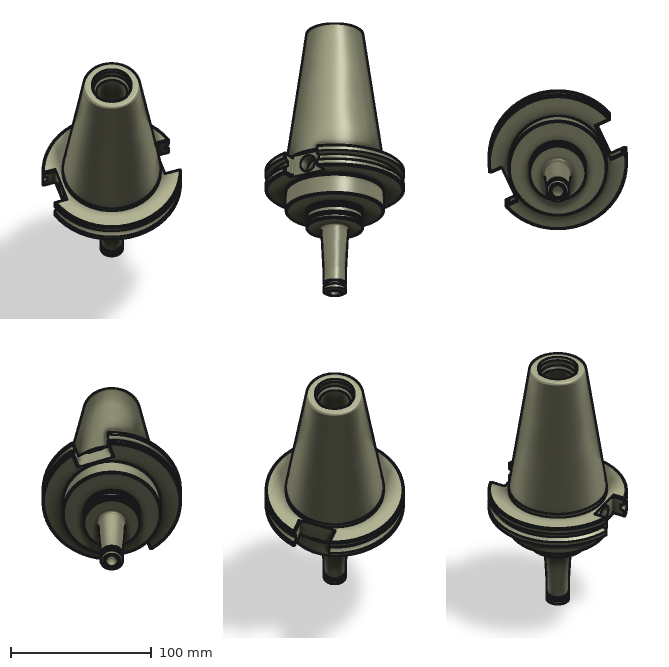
import cadquery as cq
import math


DRILL_POINT_ANGLE = 118.0


def drill_point_depth(dia):
    """Depth of a drill point that narrows from the given diameter to its tip."""
    return dia / 2 / math.tan(math.radians(DRILL_POINT_ANGLE / 2))


OVERALL_LENGTH = 199.2

GAUGE_DIA = 69.85
TAPER_LENGTH = 101.6
TAPER_RATE = 7 / 24
TAPER_END_DIA = GAUGE_DIA - TAPER_LENGTH * TAPER_RATE
TAPER_END_FILLET = 2.0

NECK_DIA = 69.0
NECK_BEVEL_HEIGHT = 1.6
NECK_COVE_DIA = 69.85

FLANGE_DIA = 98.425
FLANGE_TOP = -3.175
FLANGE_BOTTOM = -19.05
FLANGE_HEIGHT = FLANGE_TOP - FLANGE_BOTTOM
FLANGE_MID = (FLANGE_TOP + FLANGE_BOTTOM) / 2
FLANGE_CHAMFER = 1.0

GROOVE_FLOOR_DIA = 91.25
GROOVE_OPENING = 7.0
GROOVE_FLANK_ANGLE = 30.0
GROOVE_DEPTH = (FLANGE_DIA - GROOVE_FLOOR_DIA) / 2
GROOVE_FLANK_DEPTH = 2.6
GROOVE_FLANK_END = GROOVE_OPENING - 2 * GROOVE_FLANK_DEPTH * math.tan(math.radians(GROOVE_FLANK_ANGLE))
GROOVE_FLOOR = 3.3

SLOT_WIDTH = 25.7
SLOT_FLOOR_FRONT = 37.7
SLOT_FLOOR_BACK = 35.3
SLOT_CORNER_RADIUS = 0.8
SLOT_CHAMFER = 1.1

DRILL_DIA = 12.0
DRILL_DEPTH = 10.0

COLLAR_DIA = GAUGE_DIA
COLLAR_BEVEL_TOP = -19.9
COLLAR_TOP = -20.9
COLLAR_BOTTOM = -35.0
COLLAR_CHAMFER = 0.8

HUB_DIA = 40.5
HUB_BOTTOM = -48.1
HUB_CHAMFER = 0.6
HUB_CHAMFER_HEIGHT = 1.1
HUB_GROOVE_MIDS = (-37.65, -43.65)
HUB_GROOVE_OPENING = 2.4
HUB_GROOVE_FLOOR = 1.2
HUB_GROOVE_DEPTH = 0.5

ARBOR_DIA = 16.0
ARBOR_ROOT_DIA = 19.2
ARBOR_ROOT_FLARE_DIA = 21.96
ARBOR_ROOT_FILLET = (ARBOR_ROOT_FLARE_DIA - ARBOR_ROOT_DIA) / 2
ARBOR_CONE_BOTTOM = -80.5
ARBOR_BOTTOM = -90.5
ARBOR_CHAMFER = 0.3
TIP_NECK_DIA = 13.0
TIP_TOP = -93.0
TIP_TOP_CHAMFER = 0.5
TIP_END_DIA = 11.7
TIP_BOTTOM = TAPER_LENGTH - OVERALL_LENGTH
TIP_BEVEL_HEIGHT = 1.24

MOUTH_DIA = 28.2
MOUTH_DEPTH = 2.2
COUNTERBORE_DIA = 26.4
COUNTERBORE_DEPTH = 6.6
PILOT_DIA = 21.96
PILOT_SEAT_DEPTH = COUNTERBORE_DEPTH + (COUNTERBORE_DIA - PILOT_DIA) / 2
PILOT_DEPTH = 80.0
THROUGH_DIA = 9.0
PILOT_POINT_DEPTH = drill_point_depth(PILOT_DIA) - drill_point_depth(THROUGH_DIA)


def revolve(points):
    """Solid of revolution about Z from a closed (diameter, height) outline."""
    outline = [(dia / 2, z) for dia, z in points]
    return cq.Workplane("XZ").polyline(outline).close().revolve(360, (0, 0, 0), (0, 1, 0))


def ring_groove(outer_dia, mid, opening, floor, depth):
    """Ring with a trapezoid section, used to cut a groove around the axis."""
    flank_slope = (opening - floor) / 2 / depth
    overshoot = 1.0
    half_mouth = opening / 2 + overshoot * flank_slope
    rim_dia = outer_dia + 2 * overshoot
    floor_dia = outer_dia - 2 * depth
    return revolve([
        (floor_dia, mid - floor / 2),
        (rim_dia, mid - half_mouth),
        (rim_dia, mid + half_mouth),
        (floor_dia, mid + floor / 2),
    ])


def make_shank():
    shank = (
        cq.Workplane("XZ")
        .moveTo(0, TAPER_LENGTH)
        .lineTo(TAPER_END_DIA / 2, TAPER_LENGTH)
        .lineTo(GAUGE_DIA / 2, 0)
        .lineTo(NECK_DIA / 2, -NECK_BEVEL_HEIGHT)
        .tangentArcPoint((NECK_COVE_DIA / 2, FLANGE_TOP), relative=False)
        .lineTo(0, FLANGE_TOP)
        .close()
        .revolve(360, (0, 0, 0), (0, 1, 0))
    )
    return shank.faces(">Z").edges().fillet(TAPER_END_FILLET)


def make_slot(floor_distance, side):
    """Drive slot cutter; side is -1 for -Y and +1 for +Y."""
    length = FLANGE_DIA
    slot = cq.Workplane("XY").box(SLOT_WIDTH, length, 2 * FLANGE_HEIGHT)
    return slot.translate((0, side * (floor_distance + length / 2), FLANGE_MID))


def slot_corner_zone():
    """Box selector around the axis that holds the inner corners of both slots, but not the rim."""
    reach_x = SLOT_WIDTH
    reach_y = SLOT_FLOOR_FRONT + SLOT_CORNER_RADIUS
    return cq.selectors.BoxSelector((-reach_x, -reach_y, FLANGE_BOTTOM), (reach_x, reach_y, FLANGE_TOP))


def make_flange():
    flange = revolve([
        (0, FLANGE_TOP),
        (FLANGE_DIA, FLANGE_TOP),
        (FLANGE_DIA, FLANGE_BOTTOM),
        (0, FLANGE_BOTTOM),
    ])
    flange = flange.cut(make_slot(SLOT_FLOOR_FRONT, -1))
    flange = flange.cut(make_slot(SLOT_FLOOR_BACK, 1))
    flange = flange.faces("+X or -X").edges("|Y or (|Z and (>Y or <Y))").chamfer(SLOT_CHAMFER)
    flange = flange.edges("|Z").edges(slot_corner_zone()).fillet(SLOT_CORNER_RADIUS)
    v_groove = ring_groove(FLANGE_DIA, FLANGE_MID, GROOVE_OPENING, GROOVE_FLANK_END, GROOVE_FLANK_DEPTH)
    relief = ring_groove(
        FLANGE_DIA - 2 * GROOVE_FLANK_DEPTH,
        FLANGE_MID,
        GROOVE_FLANK_END,
        GROOVE_FLOOR,
        GROOVE_DEPTH - GROOVE_FLANK_DEPTH,
    )
    flange = flange.cut(v_groove).cut(relief)
    rim_envelope = (
        cq.Workplane("XY", origin=(0, 0, FLANGE_BOTTOM))
        .circle(FLANGE_DIA / 2)
        .extrude(FLANGE_HEIGHT)
        .edges()
        .chamfer(FLANGE_CHAMFER)
    )
    flange = flange.intersect(rim_envelope)
    return flange


def make_drilled_hole():
    """Blind hole cutter with a conical point, running along +Y from the -Y slot floor."""
    radius = DRILL_DIA / 2
    hole = (
        cq.Workplane("XY")
        .polyline([
            (0, 0),
            (radius, 0),
            (radius, DRILL_DEPTH),
            (0, DRILL_DEPTH + drill_point_depth(DRILL_DIA)),
        ])
        .close()
        .revolve(360, (0, 0, 0), (0, 1, 0))
    )
    return hole.translate((0, -SLOT_FLOOR_FRONT, FLANGE_MID))


def make_collar():
    return revolve([
        (0, FLANGE_BOTTOM),
        (NECK_DIA, FLANGE_BOTTOM),
        (NECK_DIA, COLLAR_BEVEL_TOP),
        (COLLAR_DIA, COLLAR_TOP),
        (COLLAR_DIA, COLLAR_BOTTOM + COLLAR_CHAMFER),
        (COLLAR_DIA - 2 * COLLAR_CHAMFER, COLLAR_BOTTOM),
        (0, COLLAR_BOTTOM),
    ])


def make_hub():
    hub = revolve([
        (0, COLLAR_BOTTOM),
        (HUB_DIA, COLLAR_BOTTOM),
        (HUB_DIA, HUB_BOTTOM + HUB_CHAMFER_HEIGHT),
        (HUB_DIA - 2 * HUB_CHAMFER, HUB_BOTTOM),
        (0, HUB_BOTTOM),
    ])
    for mid in HUB_GROOVE_MIDS:
        hub = hub.cut(ring_groove(HUB_DIA, mid, HUB_GROOVE_OPENING, HUB_GROOVE_FLOOR, HUB_GROOVE_DEPTH))
    return hub


def make_arbor():
    root_radius = ARBOR_ROOT_DIA / 2
    fillet_bottom = HUB_BOTTOM - ARBOR_ROOT_FILLET
    fillet_centre_x = root_radius + ARBOR_ROOT_FILLET
    fillet_offset = ARBOR_ROOT_FILLET * math.sqrt(0.5)
    fillet_mid = (fillet_centre_x - fillet_offset, fillet_bottom + fillet_offset)
    radius = ARBOR_DIA / 2
    return (
        cq.Workplane("XZ")
        .moveTo(0, HUB_BOTTOM)
        .lineTo(fillet_centre_x, HUB_BOTTOM)
        .threePointArc(fillet_mid, (root_radius, fillet_bottom))
        .lineTo(radius, ARBOR_CONE_BOTTOM)
        .lineTo(radius, ARBOR_BOTTOM + ARBOR_CHAMFER)
        .lineTo(radius - ARBOR_CHAMFER, ARBOR_BOTTOM)
        .lineTo(TIP_NECK_DIA / 2, ARBOR_BOTTOM)
        .lineTo(TIP_NECK_DIA / 2, TIP_TOP)
        .lineTo(radius - TIP_TOP_CHAMFER, TIP_TOP)
        .lineTo(radius, TIP_TOP - TIP_TOP_CHAMFER)
        .lineTo(radius, TIP_BOTTOM + TIP_BEVEL_HEIGHT)
        .lineTo(TIP_END_DIA / 2, TIP_BOTTOM)
        .lineTo(0, TIP_BOTTOM)
        .close()
        .revolve(360, (0, 0, 0), (0, 1, 0))
    )


def make_bore():
    top = TAPER_LENGTH
    return revolve([
        (0, top),
        (MOUTH_DIA, top),
        (COUNTERBORE_DIA, top - MOUTH_DEPTH),
        (COUNTERBORE_DIA, top - COUNTERBORE_DEPTH),
        (PILOT_DIA, top - PILOT_SEAT_DEPTH),
        (PILOT_DIA, top - PILOT_DEPTH),
        (THROUGH_DIA, top - PILOT_DEPTH - PILOT_POINT_DEPTH),
        (THROUGH_DIA, TIP_BOTTOM),
        (0, TIP_BOTTOM),
    ])


result = (
    make_shank()
    .union(make_flange())
    .union(make_collar())
    .union(make_hub())
    .union(make_arbor())
    .cut(make_drilled_hole())
    .cut(make_bore())
)